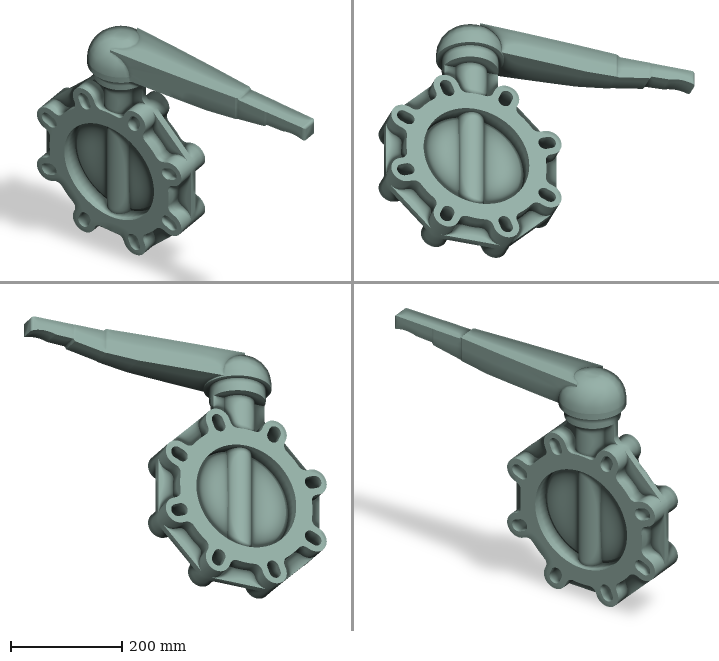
import cadquery as cq
import math


flange_thickness = 72.0
flange_radius = 132.5
octagon_apothem = 161.0
octagon_sides = 8
lug_count = 8
lug_radius = 24.5
lug_circle_radius = (octagon_apothem - lug_radius) / math.cos(math.pi / lug_count)
root_fillet = 14.0
web_thickness = 13.0
slot_circle_radius = 145.0
slot_width = 23.0
slot_length = 34.0

neck_diameter = 61.5
collar_diameter = 102.0
collar_bottom = 201.0
collar_top = 225.5

liner_outer_diameter = 235.0
bore_diameter = 200.0
stem_diameter = 50.0
disc_centre_half_thickness = 9.0
disc_edge_half_thickness = 6.0
disc_rim_half_thickness = 3.0
disc_bevel_width = 6.0

dome_diameter = 122.0
dome_top = 285.5
dome_flat_diameter = 26.0
dome_fillet = (dome_diameter - dome_flat_diameter) / 2

lever_top = 281.0
lever_bottom = 228.5
lever_start = 5.0
lever_start_half_width = 41.0
lever_notch_x = 13.0
lever_notch_half_width = 31.5
lever_middle = 171.0
lever_middle_half_width = 29.95
underside_bend = 209.5
arm_end = 270.0
arm_end_bottom = 233.0
arm_end_half_width = 21.0
shoulder_length = 3.5
grip_top = 277.5
grip_step = 334.0
grip_step_bottom = 244.0
grip_start_half_width = 19.0
grip_step_half_width = 18.5
step_length = 3.5
tail_bottom = 249.0
tail_start_half_width = 18.0
tail_bend = 372.0
tail_bend_bottom = 250.0
tail_hollow = 399.0
tail_hollow_bottom = 253.5
tail_end_half_width = 17.0
lever_end = 420.5
lever_end_bottom = 248.0
lever_end_fillet = 5.0


def flow_cylinder(diameter):
    """Cylinder along the flow axis, as long as the flange is thick."""
    return cq.Workplane("XZ").circle(diameter / 2).extrude(flange_thickness / 2, both=True)


def lug_angles():
    return [(i + 0.5) * 360 / lug_count for i in range(lug_count)]


def make_flange():
    """Round flange with radial lugs, filleted where each lug leaves the rim."""
    flange = flow_cylinder(2 * flange_radius)
    for angle in lug_angles():
        lug = (
            cq.Workplane("XZ")
            .center(lug_circle_radius / 2, 0)
            .rect(lug_circle_radius, 2 * lug_radius)
            .extrude(flange_thickness / 2, both=True)
            .union(flow_cylinder(2 * lug_radius).translate((lug_circle_radius, 0, 0)))
        )
        flange = flange.union(lug.rotate((0, 0, 0), (0, 1, 0), angle))

    def is_root(edge):
        centre = edge.Center()
        return abs(math.hypot(centre.x, centre.z) - flange_radius) < 0.05

    roots = [edge for edge in flange.edges("|Y").vals() if is_root(edge)]
    return flange.newObject(roots).fillet(root_fillet)


def make_web():
    """Thin octagonal web with rounded corners, and the rib that rises from it to the collar."""
    corner_diameter = 2 * octagon_apothem / math.cos(math.pi / octagon_sides)
    web = (
        cq.Workplane("XZ")
        .polygon(octagon_sides, corner_diameter)
        .extrude(web_thickness / 2, both=True)
        .rotate((0, 0, 0), (0, 1, 0), 180 / octagon_sides)
        .edges("|Y")
        .fillet(lug_radius)
    )
    rib = (
        cq.Workplane("XZ")
        .center(0, collar_bottom / 2)
        .rect(collar_diameter, collar_bottom)
        .extrude(web_thickness / 2, both=True)
    )
    web = web.union(rib)
    rib_side = collar_diameter / 2
    box = cq.selectors.BoxSelector(
        (-rib_side - 0.5, -web_thickness, octagon_apothem - lug_radius),
        (rib_side + 0.5, web_thickness, collar_bottom - 0.5),
    )
    return web.edges("|Y").edges(box).fillet(root_fillet)


def make_housing():
    """Flange, web, neck and collar, with the liner seat and the bolt slots cut through."""
    neck = cq.Workplane("XY").circle(neck_diameter / 2).extrude(collar_bottom)
    collar = (
        cq.Workplane("XY")
        .workplane(offset=collar_bottom)
        .circle(collar_diameter / 2)
        .extrude(collar_top - collar_bottom)
    )
    housing = make_flange().union(make_web()).union(neck).union(collar)
    housing = housing.cut(flow_cylinder(liner_outer_diameter))
    for angle in lug_angles():
        slot = (
            cq.Workplane("XZ")
            .center(slot_circle_radius, 0)
            .slot2D(slot_length, slot_width)
            .extrude(flange_thickness / 2, both=True)
        )
        housing = housing.cut(slot.rotate((0, 0, 0), (0, 1, 0), angle))
    return housing


def make_liner():
    return flow_cylinder(liner_outer_diameter).cut(flow_cylinder(bore_diameter))


def make_closure_disc():
    """Lens-shaped disc with a bevelled rim, and the stem across it from bore wall to bore wall."""
    rim = bore_diameter / 2
    edge = rim - disc_bevel_width
    lens_radius = (edge**2 + (disc_centre_half_thickness - disc_edge_half_thickness) ** 2) / (
        2 * (disc_centre_half_thickness - disc_edge_half_thickness)
    )
    halfway = edge / 2
    halfway_y = disc_centre_half_thickness - lens_radius + math.sqrt(lens_radius**2 - halfway**2)
    lens = (
        cq.Workplane("XY")
        .moveTo(0, -disc_centre_half_thickness)
        .threePointArc((halfway, -halfway_y), (edge, -disc_edge_half_thickness))
        .lineTo(rim, -disc_rim_half_thickness)
        .lineTo(rim, disc_rim_half_thickness)
        .lineTo(edge, disc_edge_half_thickness)
        .threePointArc((halfway, halfway_y), (0, disc_centre_half_thickness))
        .close()
        .revolve(360, (0, 0, 0), (0, 1, 0))
    )
    stem = cq.Workplane("XY").circle(stem_diameter / 2).extrude(rim, both=True)
    return lens.union(stem.intersect(flow_cylinder(bore_diameter)))


def make_dome():
    return (
        cq.Workplane("XY")
        .workplane(offset=collar_top)
        .circle(dome_diameter / 2)
        .extrude(dome_top - collar_top)
        .faces(">Z")
        .edges()
        .fillet(dome_fillet)
    )


def make_lever(dome):
    """Side outline crossed with plan outline; the inner end fits against the dome."""
    side = (
        cq.Workplane("XZ")
        .moveTo(lever_start, lever_top)
        .lineTo(arm_end + shoulder_length, lever_top)
        .lineTo(arm_end + 2 * shoulder_length, grip_top)
        .lineTo(lever_end, grip_top)
        .lineTo(lever_end, lever_end_bottom)
        .threePointArc((tail_hollow, tail_hollow_bottom), (tail_bend, tail_bend_bottom))
        .lineTo(grip_step + step_length, tail_bottom)
        .lineTo(grip_step, grip_step_bottom)
        .lineTo(arm_end, arm_end_bottom)
        .lineTo(underside_bend, lever_bottom)
        .lineTo(lever_start, lever_bottom)
        .close()
        .extrude(lever_start_half_width, both=True)
    )
    grip_start = arm_end + shoulder_length
    tail_start = grip_step + step_length
    half_plan = (
        cq.Workplane("XY")
        .moveTo(lever_notch_x, 0)
        .lineTo(lever_notch_x, lever_notch_half_width)
        .lineTo(lever_start, lever_start_half_width)
        .threePointArc((lever_middle, lever_middle_half_width), (arm_end, arm_end_half_width))
        .lineTo(grip_start, grip_start_half_width)
        .lineTo(grip_step, grip_step_half_width)
        .lineTo(tail_start, tail_start_half_width)
        .lineTo(lever_end, tail_end_half_width)
        .lineTo(lever_end, 0)
        .close()
        .extrude(lever_top)
    )
    plan = half_plan.union(half_plan.mirror("XZ"))
    lever = side.intersect(plan).faces(">X").edges("|Z or >Z").fillet(lever_end_fillet)
    return lever.cut(dome)


housing = make_housing()
liner = make_liner()
closure_disc = make_closure_disc()
dome = make_dome()
lever = make_lever(dome)

result = cq.Compound.makeCompound(
    [housing.val(), liner.val(), closure_disc.val(), dome.val(), lever.val()]
)